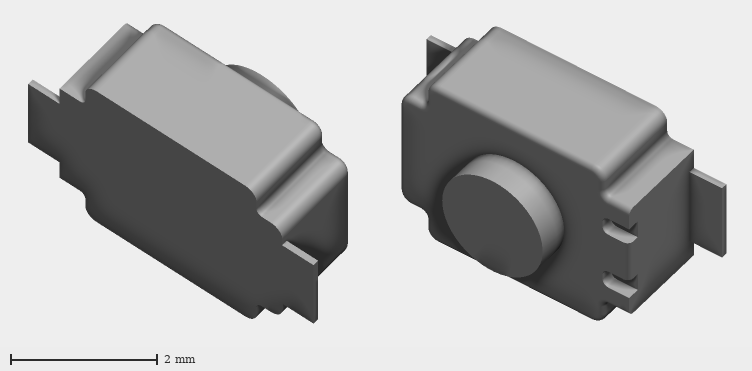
import cadquery as cq

total_length = 5.0
total_height = 2.93
total_depth = 2.0

housing_depth = 1.5
central_length = 3.0
shoulder_length = 3.9
shoulder_height = 2.0
outer_corner_radius = 0.2
inner_corner_radius = 0.1
rim_radius = 0.1

terminal_height = 1.31
terminal_thickness = 0.1

button_diameter = 1.7

slot_width = 0.3
slot_depth = 0.2
slot_length = 0.45
slot_spacing = 1.0
slot_corner_radius = 0.1

left_end = -shoulder_length / 2


def block(length, depth, height):
    """Box centred on X and Z, standing on the mounting face."""
    return cq.Workplane("XY").box(length, depth, height, centered=(True, False, True))


def make_housing():
    """Stepped housing, rounded around its +Y rim except along the left end."""
    central = block(central_length, housing_depth, total_height)
    central = central.edges("|Y").fillet(outer_corner_radius)
    shoulders = block(shoulder_length, housing_depth, shoulder_height)
    shoulders = shoulders.edges("|Y and >X").fillet(outer_corner_radius)
    housing = central.union(shoulders)

    for side_x in (-1, 1):
        for side_z in (-1, 1):
            corner = cq.NearestToPointSelector(
                (side_x * central_length / 2, housing_depth / 2, side_z * shoulder_height / 2)
            )
            housing = housing.edges("|Y").edges(corner).fillet(inner_corner_radius)

    return housing.faces(">Y").edges("not <X").fillet(rim_radius)


def make_slot(center_z):
    """Slot running in from the left end, with rounded inner corners."""
    return (
        block(slot_length, slot_depth, slot_width)
        .edges("|Y and >X")
        .fillet(slot_corner_radius)
        .translate((left_end + slot_length / 2, housing_depth - slot_depth, center_z))
    )


def cut_slots(housing):
    """Cut both slots and round the rim of the tongue left between them."""
    for side in (-1, 1):
        housing = housing.cut(make_slot(side * slot_spacing / 2))
    tongue_rim = cq.NearestToPointSelector((left_end, housing_depth, 0))
    return housing.edges("|Z").edges(tongue_rim).fillet(rim_radius)


terminals = block(total_length, terminal_thickness, terminal_height)

button = (
    cq.Workplane("XZ", origin=(0, housing_depth, 0))
    .circle(button_diameter / 2)
    .extrude(housing_depth - total_depth)
)

result = cut_slots(make_housing()).union(terminals).union(button)